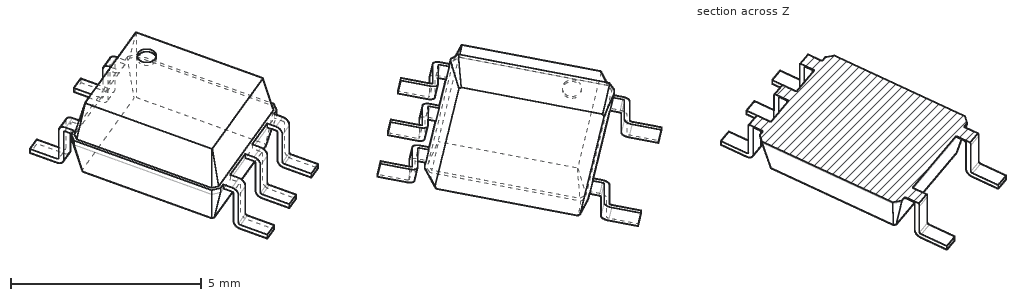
import cadquery as cq
import math

LEAD_SPAN = 7.0
BODY_LENGTH = 4.4
BODY_WIDTH = 3.6
TOTAL_HEIGHT = 2.6
STANDOFF = 0.1

BAND_HEIGHT = 0.15
BAND_LEDGE = 0.075
CORNER_CHAMFER = 0.175
CHAMFER_LOSS_PER_INSET = 0.5
DRAFT_ANGLE = 12.0
BAND_BOTTOM = (STANDOFF + TOTAL_HEIGHT - BAND_HEIGHT) / 2
BAND_TOP = BAND_BOTTOM + BAND_HEIGHT
HALF_HEIGHT = BAND_BOTTOM - STANDOFF
DRAFT_INSET = HALF_HEIGHT * math.tan(math.radians(DRAFT_ANGLE))

MARK_DIAMETER = 0.5
MARK_DEPTH = 0.1
MARK_X = -1.225
MARK_Y = 0.825

LEAD_THICKNESS = BAND_HEIGHT
LEAD_WIDTH = 0.4
LEAD_PITCH = 1.27
LEG_INNER_X = 2.5
LEG_OUTER_X = LEG_INNER_X + LEAD_THICKNESS
BEND_INNER_RADIUS = 0.05
BEND_OUTER_RADIUS = BEND_INNER_RADIUS + LEAD_THICKNESS
LEAD_EMBED = 0.2
LEFT_LEAD_ROWS = (-1, 1)
RIGHT_LEAD_ROWS = (-1, 0, 1)


def outline_at(z, inset):
    """Chamfered body outline at height z; the corner chamfer shrinks with the inset."""
    chamfer = CORNER_CHAMFER - inset * CHAMFER_LOSS_PER_INSET
    half_length = BODY_LENGTH / 2 - inset
    half_width = BODY_WIDTH / 2 - inset
    short_half_length = half_length - chamfer
    short_half_width = half_width - chamfer
    corners = [
        (half_length, short_half_width),
        (short_half_length, half_width),
        (-short_half_length, half_width),
        (-half_length, short_half_width),
        (-half_length, -short_half_width),
        (-short_half_length, -half_width),
        (short_half_length, -half_width),
        (half_length, -short_half_width),
    ]
    return cq.Workplane("XY", origin=(0, 0, z)).polyline(corners).close().wire().val()


def make_section(bottom_z, bottom_inset, top_z, top_inset):
    """Flat-sided part of the body between two outlines."""
    outlines = [outline_at(bottom_z, bottom_inset), outline_at(top_z, top_inset)]
    return cq.Workplane(cq.Solid.makeLoft(outlines, True))


def make_body():
    lower_half = make_section(STANDOFF, DRAFT_INSET, BAND_BOTTOM, 0)
    band = make_section(BAND_BOTTOM, 0, BAND_TOP, 0)
    upper_half = make_section(BAND_TOP, BAND_LEDGE, TOTAL_HEIGHT, BAND_LEDGE + DRAFT_INSET)
    return band.union(lower_half).union(upper_half)


def make_mark():
    """Cutter for the shallow round recess in the top face."""
    return (
        cq.Workplane("XY", origin=(MARK_X, MARK_Y, TOTAL_HEIGHT))
        .circle(MARK_DIAMETER / 2)
        .extrude(-MARK_DEPTH)
    )


def make_right_lead(y_center):
    """Z-shaped lead on the +X side: shoulder in the band, vertical leg, foot at Z = 0."""
    root_x = BODY_LENGTH / 2 - LEAD_EMBED
    toe_x = LEAD_SPAN / 2
    profile = [
        (root_x, BAND_TOP),
        (LEG_OUTER_X, BAND_TOP),
        (LEG_OUTER_X, LEAD_THICKNESS),
        (toe_x, LEAD_THICKNESS),
        (toe_x, 0),
        (LEG_INNER_X, 0),
        (LEG_INNER_X, BAND_BOTTOM),
        (root_x, BAND_BOTTOM),
    ]
    shoulder_outer_bend = (LEG_OUTER_X, y_center, BAND_TOP)
    shoulder_inner_bend = (LEG_INNER_X, y_center, BAND_BOTTOM)
    foot_outer_bend = (LEG_INNER_X, y_center, 0)
    foot_inner_bend = (LEG_OUTER_X, y_center, LEAD_THICKNESS)
    lead = (
        cq.Workplane("XZ", origin=(0, y_center, 0))
        .polyline(profile)
        .close()
        .extrude(LEAD_WIDTH / 2, both=True)
    )
    bends = [
        (shoulder_outer_bend, BEND_OUTER_RADIUS),
        (shoulder_inner_bend, BEND_INNER_RADIUS),
        (foot_outer_bend, BEND_OUTER_RADIUS),
        (foot_inner_bend, BEND_INNER_RADIUS),
    ]
    for corner, radius in bends:
        lead = lead.edges(cq.selectors.NearestToPointSelector(corner)).fillet(radius)
    return lead


def make_left_lead(y_center):
    """Mirror image of a right lead, on the -X side."""
    return make_right_lead(y_center).mirror("YZ")


result = make_body().cut(make_mark())
for row in RIGHT_LEAD_ROWS:
    result = result.union(make_right_lead(row * LEAD_PITCH))
for row in LEFT_LEAD_ROWS:
    result = result.union(make_left_lead(row * LEAD_PITCH))